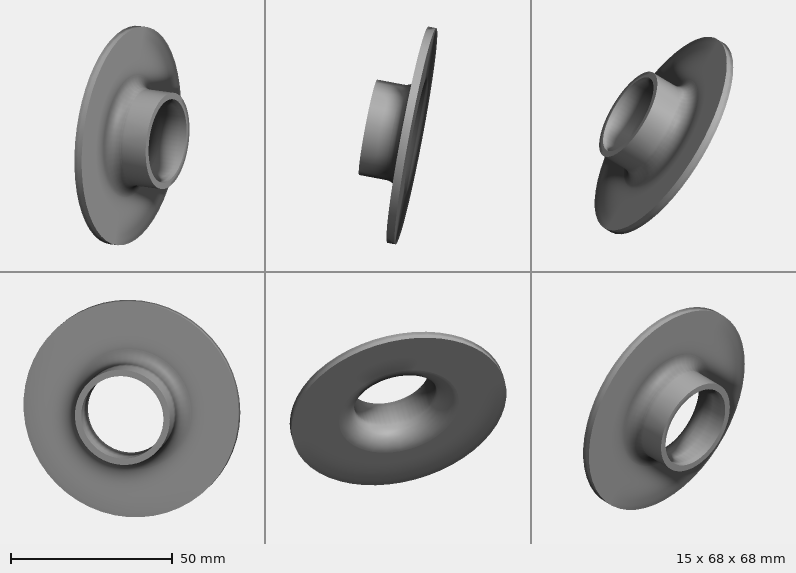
import cadquery as cq
import math

flange_diameter = 68.0
flange_thickness = 2.5
tube_outer_diameter = 30.0
bore_diameter = 26.0
overall_length = 15.0
outer_fillet_radius = 4.0
mouth_radius = 6.0

flange_radius = flange_diameter / 2
tube_radius = tube_outer_diameter / 2
bore_radius = bore_diameter / 2


def quarter_arc_midpoint(center_x, center_y, radius):
    """Middle of the quarter arc that faces -X and the axis."""
    offset = radius * math.sqrt(0.5)
    return (center_x - offset, center_y - offset)


fillet_center = (flange_thickness + outer_fillet_radius, tube_radius + outer_fillet_radius)
mouth_center = (mouth_radius, bore_radius + mouth_radius)

half_section = (
    cq.Workplane("XY")
    .moveTo(0, mouth_center[1])
    .lineTo(0, flange_radius)
    .lineTo(flange_thickness, flange_radius)
    .lineTo(flange_thickness, fillet_center[1])
    .threePointArc(
        quarter_arc_midpoint(*fillet_center, outer_fillet_radius),
        (fillet_center[0], tube_radius),
    )
    .lineTo(overall_length, tube_radius)
    .lineTo(overall_length, bore_radius)
    .lineTo(mouth_center[0], bore_radius)
    .threePointArc(
        quarter_arc_midpoint(*mouth_center, mouth_radius),
        (0, mouth_center[1]),
    )
    .close()
)

result = half_section.revolve(360, (0, 0, 0), (1, 0, 0))